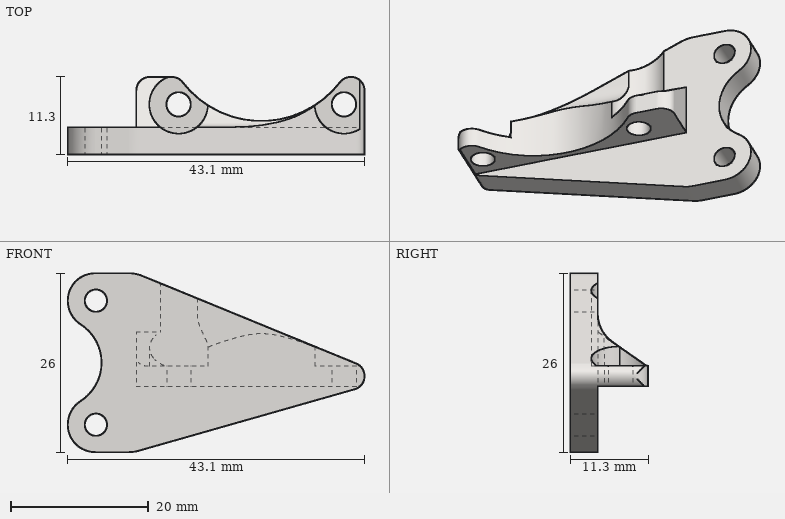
import cadquery as cq
import math

plate_thickness = 4.0
mount_hole_diameter = 3.2
mount_hole_offset = 9.0
lobe_radius = 4.1
corner_radius = 4.0
corner_x = corner_radius - lobe_radius
plate_half_height = mount_hole_offset + corner_radius
shoulder_radius = 5.0
shoulder_x = 4.8
shoulder_z = plate_half_height - shoulder_radius
notch_center_x = -5.8
notch_radius = math.hypot(notch_center_x, mount_hole_offset) - lobe_radius

cross_hole_diameter = 3.5
cross_hole_spacing = 24.0
cross_hole_y = 7.29
first_cross_hole_x = 12.0
last_cross_hole_x = first_cross_hole_x + cross_hole_spacing
spotface_diameter = 8.5

ear_thickness = 3.0
ear_radius = 2.0
ear_top_margin = 4.0
ear_top_y = cross_hole_y + ear_top_margin
arm_bottom_z = -3.45
ear_floor_z = arm_bottom_z + ear_thickness
arm_left_x = 5.85
arm_end_margin = 3.0
arm_right_x = last_cross_hole_x + arm_end_margin
saddle_radius = 14.4
slope_angle = math.radians(35.0)
slope_foot_z = 4.5
root_fillet_radius = 5.0
ear_fillet_radius = 1.0

tip_radius = 2.0
tip_x = arm_right_x - tip_radius
tip_z = arm_bottom_z + ear_thickness / 2
corner_mid_angle = math.radians(135)


def polar(center, radius, angle):
    """Point on a circle at the given angle."""
    return (center[0] + radius * math.cos(angle), center[1] + radius * math.sin(angle))


def taper_normal(side):
    """Angle of the outward normal of the taper edge, side +1 for upper and -1 for lower."""
    run = tip_x - shoulder_x
    drop = shoulder_z - side * tip_z
    lean = math.atan2(drop, run) + math.asin((shoulder_radius - tip_radius) / math.hypot(run, drop))
    return side * (math.pi / 2 - lean)


def outline_prism(depth):
    """Plate outline extruded from the front face towards +Y."""
    upper_lobe = (0, mount_hole_offset)
    lower_lobe = (0, -mount_hole_offset)
    upper_corner = (corner_x, mount_hole_offset)
    lower_corner = (corner_x, -mount_hole_offset)
    upper_shoulder = (shoulder_x, shoulder_z)
    lower_shoulder = (shoulder_x, -shoulder_z)
    tip = (tip_x, tip_z)
    upper_normal = taper_normal(1)
    lower_normal = taper_normal(-1)
    notch_angle = math.atan2(-mount_hole_offset, notch_center_x)
    lobe_mid_angle = (notch_angle - math.pi) / 2
    notch_end = polar(upper_lobe, lobe_radius, notch_angle)
    return (
        cq.Workplane("XZ")
        .moveTo(corner_x, plate_half_height)
        .lineTo(shoulder_x, plate_half_height)
        .threePointArc(
            polar(upper_shoulder, shoulder_radius, (math.pi / 2 + upper_normal) / 2),
            polar(upper_shoulder, shoulder_radius, upper_normal),
        )
        .lineTo(*polar(tip, tip_radius, upper_normal))
        .threePointArc((arm_right_x, tip_z), polar(tip, tip_radius, lower_normal))
        .lineTo(*polar(lower_shoulder, shoulder_radius, lower_normal))
        .threePointArc(
            polar(lower_shoulder, shoulder_radius, (lower_normal - math.pi / 2) / 2),
            (shoulder_x, -plate_half_height),
        )
        .lineTo(corner_x, -plate_half_height)
        .threePointArc(
            polar(lower_corner, corner_radius, -corner_mid_angle),
            (-lobe_radius, -mount_hole_offset),
        )
        .threePointArc(
            polar(lower_lobe, lobe_radius, -lobe_mid_angle),
            (notch_end[0], -notch_end[1]),
        )
        .threePointArc((notch_center_x + notch_radius, 0), notch_end)
        .threePointArc(
            polar(upper_lobe, lobe_radius, lobe_mid_angle),
            (-lobe_radius, mount_hole_offset),
        )
        .threePointArc(
            polar(upper_corner, corner_radius, corner_mid_angle),
            (corner_x, plate_half_height),
        )
        .close()
        .extrude(-depth)
    )


def ear_prism():
    """Arm shape seen along Z: two rounded ears joined by the concave saddle."""
    ear_center_y = ear_top_y - ear_radius
    saddle_x = (first_cross_hole_x + last_cross_hole_x) / 2
    inner_offset = tip_x - saddle_x
    saddle_y = ear_center_y + math.sqrt((saddle_radius + ear_radius) ** 2 - inner_offset ** 2)
    left_inner = (saddle_x - inner_offset, ear_center_y)
    right_inner = (saddle_x + inner_offset, ear_center_y)
    left_corner = (arm_left_x + ear_radius, ear_center_y)
    blend_angle = math.atan2(saddle_y - ear_center_y, inner_offset)
    left_mid_angle = (math.pi / 2 + blend_angle) / 2
    return (
        cq.Workplane("XY", origin=(0, 0, arm_bottom_z))
        .moveTo(arm_left_x, 0)
        .lineTo(arm_left_x, ear_center_y)
        .threePointArc(
            polar(left_corner, ear_radius, corner_mid_angle),
            (left_corner[0], ear_top_y),
        )
        .lineTo(left_inner[0], ear_top_y)
        .threePointArc(
            polar(left_inner, ear_radius, left_mid_angle),
            polar(left_inner, ear_radius, blend_angle),
        )
        .threePointArc(
            (saddle_x, saddle_y - saddle_radius),
            polar(right_inner, ear_radius, math.pi - blend_angle),
        )
        .threePointArc((right_inner[0], ear_top_y), (arm_right_x, ear_center_y))
        .lineTo(arm_right_x, 0)
        .close()
        .extrude(plate_half_height - arm_bottom_z)
    )


def slope_prism():
    """Side profile of the arm: upper face sloping from the plate, filleted into the flat ear top."""
    slope_end = (plate_thickness + (slope_foot_z - ear_floor_z) / math.tan(slope_angle), ear_floor_z)
    tangent_length = ear_fillet_radius * math.tan(slope_angle / 2)
    slope_tangent = polar(slope_end, tangent_length, math.pi - slope_angle)
    floor_tangent = (slope_end[0] + tangent_length, ear_floor_z)
    fillet_center = (floor_tangent[0], ear_floor_z + ear_fillet_radius)
    fillet_mid = polar(fillet_center, ear_fillet_radius, -(math.pi + slope_angle) / 2)
    return (
        cq.Workplane("YZ", origin=(arm_left_x, 0, 0))
        .moveTo(0, arm_bottom_z)
        .lineTo(floor_tangent[0], arm_bottom_z)
        .lineTo(*floor_tangent)
        .threePointArc(fillet_mid, slope_tangent)
        .lineTo(plate_thickness, slope_foot_z)
        .lineTo(0, slope_foot_z)
        .close()
        .extrude(arm_right_x - arm_left_x)
    )


def root_fillet():
    """Concave fillet between the plate and the sloped face, starting at the first ear's hole."""
    turn = math.pi / 2 - slope_angle
    tangent_length = root_fillet_radius * math.tan(turn / 2)
    plate_tangent = (plate_thickness, slope_foot_z + tangent_length)
    slope_tangent = polar((plate_thickness, slope_foot_z), tangent_length, -slope_angle)
    fillet_center = (plate_thickness + root_fillet_radius, plate_tangent[1])
    return (
        cq.Workplane("YZ", origin=(first_cross_hole_x, 0, 0))
        .moveTo(0, ear_floor_z)
        .lineTo(plate_thickness, ear_floor_z)
        .lineTo(*slope_tangent)
        .threePointArc(polar(fillet_center, root_fillet_radius, math.pi + turn / 2), plate_tangent)
        .lineTo(0, plate_tangent[1])
        .close()
        .extrude(arm_right_x - first_cross_hole_x)
    )


def vertical_cut(diameter, bottom_z):
    """Cylinders along Z at both cross holes, open upwards from the given height."""
    return (
        cq.Workplane("XY", origin=(0, 0, bottom_z))
        .pushPoints([(first_cross_hole_x, cross_hole_y), (last_cross_hole_x, cross_hole_y)])
        .circle(diameter / 2)
        .extrude(plate_half_height - bottom_z)
    )


def mount_holes():
    """Cylinders along Y through the plate lobes."""
    return (
        cq.Workplane("XZ")
        .pushPoints([(0, mount_hole_offset), (0, -mount_hole_offset)])
        .circle(mount_hole_diameter / 2)
        .extrude(-plate_thickness)
    )


plate = outline_prism(plate_thickness)
arm = slope_prism().union(root_fillet())
arm = arm.intersect(ear_prism()).intersect(outline_prism(ear_top_y))

result = (
    plate.union(arm)
    .cut(mount_holes())
    .cut(vertical_cut(spotface_diameter, ear_floor_z))
    .cut(vertical_cut(cross_hole_diameter, arm_bottom_z))
)